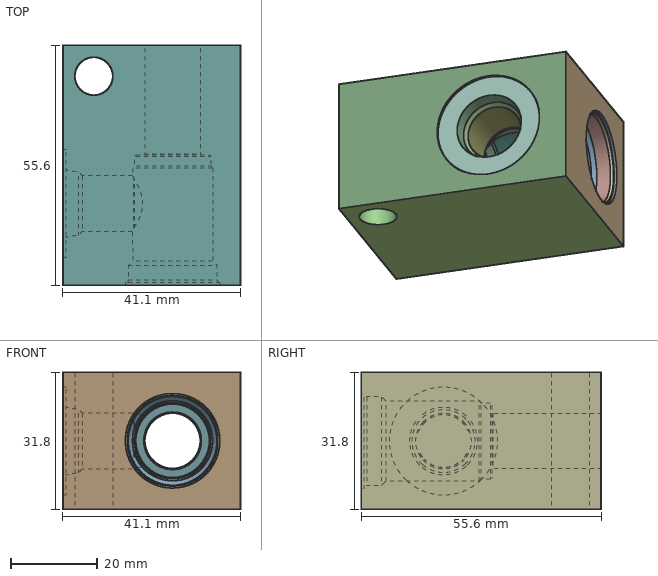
import cadquery as cq
import math

width = 41.15
length = 55.6
height = 31.75

cavity_x = 25.4
spotface_depth = 0.65
cavity_spotface_radius = 10.95
cavity_mouth_radius = 10.5
cavity_thread_radius = 10.3
cavity_mouth_depth = 1.35
cavity_thread_depth = 4.65
cavity_bore_radius = 9.3
cavity_bore_depth = 27.25
cavity_seat_radius = 8.85
cavity_seat_length = 2.2
cavity_floor_radius = 8.5
through_radius = 6.4
through_chamfer = 0.3

port_y = 19.0
port_spotface_radius = 12.5
port_mouth_radius = 7.85
port_throat_radius = 7.3
port_throat_depth = 3.6
port_thread_radius = 6.45
port_thread_depth = 16.3
port_pilot_radius = 6.1
drill_half_angle = math.radians(59)

mounting_diameter = 8.7
mounting_inset = 7.15


def turned_cutter(steps):
    """Solid of revolution about +Z from (radius, depth) steps, starting at depth 0."""
    last_depth = steps[-1][1]
    outline = [(0, 0)] + steps + [(0, last_depth)]
    return cq.Workplane("XZ").polyline(outline).close().revolve(360, (0, 0, 0), (0, 1, 0))


def cavity_cutter():
    """Cartridge cavity with 45-degree cones between its bores."""
    bore_start = cavity_thread_depth + cavity_thread_radius - cavity_bore_radius
    seat_start = cavity_bore_depth + cavity_bore_radius - cavity_seat_radius
    seat_end = seat_start + cavity_seat_length
    floor_depth = seat_end + cavity_seat_radius - cavity_floor_radius
    cutter = turned_cutter([
        (cavity_spotface_radius, 0),
        (cavity_spotface_radius, spotface_depth),
        (cavity_mouth_radius, spotface_depth),
        (cavity_thread_radius, cavity_mouth_depth),
        (cavity_thread_radius, cavity_thread_depth),
        (cavity_bore_radius, bore_start),
        (cavity_bore_radius, cavity_bore_depth),
        (cavity_seat_radius, seat_start),
        (cavity_seat_radius, seat_end),
        (cavity_floor_radius, floor_depth),
        (through_radius + through_chamfer, floor_depth),
        (through_radius, floor_depth + through_chamfer),
        (through_radius, length),
    ])
    return cutter.rotate((0, 0, 0), (1, 0, 0), -90).translate((cavity_x, 0, height / 2))


def port_cutter():
    """Side port, ending on the axis of the cavity."""
    thread_start = port_throat_depth + port_throat_radius - port_thread_radius
    drill_tip_length = (port_thread_radius - port_pilot_radius) / math.tan(drill_half_angle)
    cutter = turned_cutter([
        (port_spotface_radius, 0),
        (port_spotface_radius, spotface_depth),
        (port_mouth_radius, spotface_depth),
        (port_throat_radius, port_throat_depth),
        (port_thread_radius, thread_start),
        (port_thread_radius, port_thread_depth),
        (port_pilot_radius, port_thread_depth + drill_tip_length),
        (port_pilot_radius, cavity_x),
    ])
    return cutter.rotate((0, 0, 0), (0, 1, 0), 90).translate((0, port_y, height / 2))


def mounting_cutter():
    """Plain hole through the full height."""
    corner = cq.Workplane("XY").center(mounting_inset, length - mounting_inset)
    return corner.circle(mounting_diameter / 2).extrude(height)


block = cq.Workplane("XY").box(width, length, height, centered=False)
result = block.cut(cavity_cutter()).cut(port_cutter()).cut(mounting_cutter())